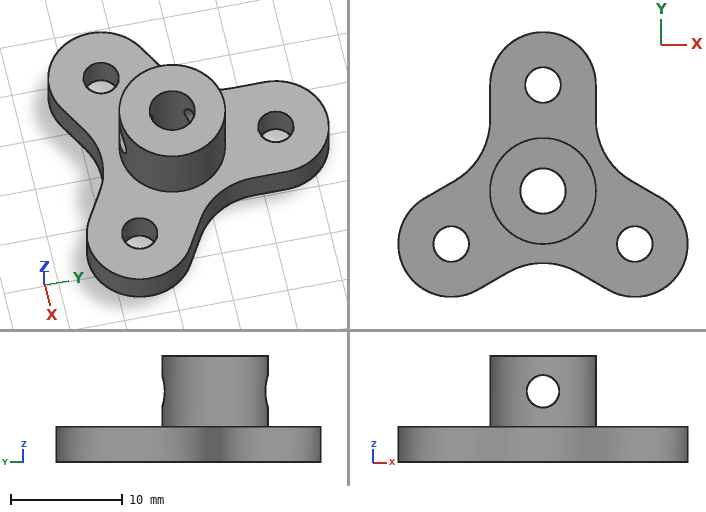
import cadquery as cq
import math

arm_count = 3
first_arm_angle = 90
arm_width = 9.525
arm_reach = 9.525
arm_hole_diameter = 3.175
notch_radius = 6.35
plate_thickness = 3.175
hub_diameter = 9.525
hub_height = 6.35
bore_diameter = 4.05
cross_hole_diameter = 2.9

arm_radius = arm_width / 2
arm_step = 360 / arm_count
arm_angles = [first_arm_angle + i * arm_step for i in range(arm_count)]
total_height = plate_thickness + hub_height
cross_hole_z = plate_thickness + hub_height / 2

half_step = math.radians(arm_step / 2)
notch_centre_distance = (arm_radius + notch_radius) / math.sin(half_step)
notch_start = notch_centre_distance * math.cos(half_step)
notch_bottom = notch_centre_distance - notch_radius


def arm_point(along, across, angle):
    """Point in an arm's own frame (outward, then left), turned to the arm's angle."""
    c = math.cos(math.radians(angle))
    s = math.sin(math.radians(angle))
    return (along * c - across * s, along * s + across * c)


def make_plate():
    """Flat plate with round-ended arms blended together by concave notches."""
    outline = cq.Workplane("XY").moveTo(*arm_point(notch_start, -arm_radius, arm_angles[0]))
    for angle in arm_angles:
        next_angle = angle + arm_step
        outline = (
            outline.lineTo(*arm_point(arm_reach, -arm_radius, angle))
            .threePointArc(
                arm_point(arm_reach + arm_radius, 0, angle),
                arm_point(arm_reach, arm_radius, angle),
            )
            .lineTo(*arm_point(notch_start, arm_radius, angle))
            .threePointArc(
                arm_point(notch_bottom, 0, angle + arm_step / 2),
                arm_point(notch_start, -arm_radius, next_angle),
            )
        )
    return outline.close().extrude(plate_thickness)


def make_hub():
    """Round hub standing on the centre of the plate."""
    hub = cq.Workplane("XY").workplane(offset=plate_thickness)
    return hub.circle(hub_diameter / 2).extrude(hub_height)


def make_vertical_holes():
    """Central bore through hub and plate, and one through hole at each arm's end."""
    bore = cq.Workplane("XY").circle(bore_diameter / 2).extrude(total_height)
    arm_centres = [arm_point(arm_reach, 0, angle) for angle in arm_angles]
    arm_holes = (
        cq.Workplane("XY")
        .pushPoints(arm_centres)
        .circle(arm_hole_diameter / 2)
        .extrude(plate_thickness)
    )
    return bore.union(arm_holes)


def make_cross_hole():
    """Hole along Y through both walls of the hub, at its mid-height."""
    hole = cq.Workplane("XZ").center(0, cross_hole_z).circle(cross_hole_diameter / 2)
    return hole.extrude(hub_diameter / 2, both=True)


result = make_plate().union(make_hub()).cut(make_vertical_holes()).cut(make_cross_hole())